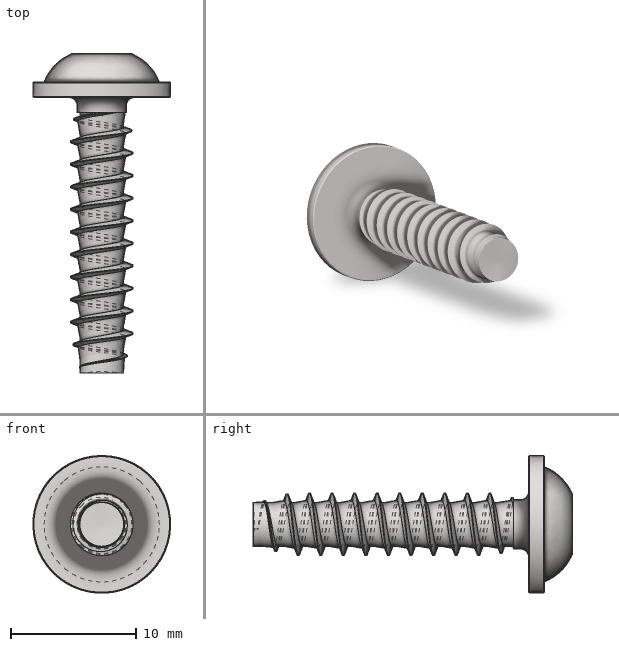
import cadquery as cq
import math


PROFILE_PLANE = cq.Plane(origin=(0, 0, 0), xDir=(0, 0, 1), normal=(-1, 0, 0))

FLANGE_RADIUS = 5.5
FLANGE_THICKNESS = 1.25
FLANGE_EDGE_CHAMFER = 0.08
HEAD_HEIGHT = 3.5
DOME_BASE_RADIUS = 4.6
DOME_TOP_RADIUS = 2.4
DOME_BULGE = 0.31

SHANK_LENGTH = 22.0
NECK_RADIUS = 1.97
NECK_FILLET = 0.65
NECK_LENGTH = 1.2
CORE_RADIUS = 1.75
TIP_DIMPLE_DEPTH = 0.13

PITCH = 1.8
CREST_RADIUS = 2.5
CREST_HALF_WIDTH = 0.03
FLANK_LENGTH = 0.28
SHOULDER_RADIUS = 1.92
SHOULDER_OFFSET = 0.25
TAPER_END = 1.17
RIDGE_FLOOR_RADIUS = 1.3
TAPER_OVERRUN = 0.2
CREST_DEPTH_AT_TOP = 1.29
THREAD_START_DEPTH = 0.4
RUN_IN_END_DEPTH = 3.1
RUN_OUT_START_DEPTH = 19.1
THREAD_END_DEPTH = 21.6
FINAL_HEIGHT = 0.04
STEPS_PER_TURN = 24


def make_body():
    """Head, neck and plain core as one turned profile (radius, Y)."""
    chamfer = FLANGE_EDGE_CHAMFER
    chord_slope = (DOME_BASE_RADIUS - DOME_TOP_RADIUS) / (HEAD_HEIGHT - FLANGE_THICKNESS)
    normal_scale = math.hypot(1, chord_slope)
    dome_middle = (
        (DOME_BASE_RADIUS + DOME_TOP_RADIUS) / 2 + DOME_BULGE / normal_scale,
        (FLANGE_THICKNESS + HEAD_HEIGHT) / 2 + DOME_BULGE * chord_slope / normal_scale,
    )
    fillet_offset = NECK_FILLET * (1 - math.sqrt(0.5))
    profile = (
        cq.Workplane(PROFILE_PLANE)
        .moveTo(0, HEAD_HEIGHT)
        .lineTo(DOME_TOP_RADIUS, HEAD_HEIGHT)
        .threePointArc(dome_middle, (DOME_BASE_RADIUS, FLANGE_THICKNESS))
        .lineTo(FLANGE_RADIUS - chamfer, FLANGE_THICKNESS)
        .lineTo(FLANGE_RADIUS, FLANGE_THICKNESS - chamfer)
        .lineTo(FLANGE_RADIUS, chamfer)
        .lineTo(FLANGE_RADIUS - chamfer, 0)
        .lineTo(NECK_RADIUS + NECK_FILLET, 0)
        .threePointArc(
            (NECK_RADIUS + fillet_offset, -fillet_offset),
            (NECK_RADIUS, -NECK_FILLET),
        )
        .lineTo(NECK_RADIUS, -NECK_LENGTH)
        .lineTo(CORE_RADIUS, -NECK_LENGTH)
        .lineTo(CORE_RADIUS, -SHANK_LENGTH)
        .lineTo(0, -SHANK_LENGTH)
        .close()
    )
    return profile.revolve(360, (0, 0, 0), (0, 1, 0))


def ridge_section(depth):
    """Corners (radius, offset towards the tip) of the ridge whose crest lies at this depth."""
    run_in = min(1.0, depth / RUN_IN_END_DEPTH)
    run_out_length = THREAD_END_DEPTH - RUN_OUT_START_DEPTH
    run_out = min(1.0, max(FINAL_HEIGHT, (THREAD_END_DEPTH - depth) / run_out_length))
    growth = run_in * run_out
    shoulder = CORE_RADIUS + (SHOULDER_RADIUS - CORE_RADIUS) * run_out
    crest = shoulder + (CREST_RADIUS - SHOULDER_RADIUS) * growth
    flank = CREST_HALF_WIDTH + FLANK_LENGTH * growth
    shoulder_offset = CREST_HALF_WIDTH + (SHOULDER_OFFSET - CREST_HALF_WIDTH) * growth
    taper_end = TAPER_END + TAPER_OVERRUN
    root = CORE_RADIUS - (shoulder - CORE_RADIUS) * TAPER_OVERRUN / (TAPER_END - shoulder_offset)
    return [
        (RIDGE_FLOOR_RADIUS, -flank),
        (root, -flank),
        (crest, -CREST_HALF_WIDTH),
        (crest, CREST_HALF_WIDTH),
        (shoulder, shoulder_offset),
        (root, taper_end),
        (RIDGE_FLOOR_RADIUS, taper_end),
    ]


def ridge_points(depth):
    """Corners of the ridge section placed on the right-handed helix."""
    angle = 2 * math.pi * (depth - CREST_DEPTH_AT_TOP) / PITCH
    return [
        cq.Vector(-radius * math.sin(angle), -depth - offset, radius * math.cos(angle))
        for radius, offset in ridge_section(depth)
    ]


def make_thread():
    """Solid ridge bounded by ruled faces between the helical paths of its section corners."""
    stage_depths = [THREAD_START_DEPTH, RUN_IN_END_DEPTH, RUN_OUT_START_DEPTH, THREAD_END_DEPTH]
    faces = []
    for start, end in zip(stage_depths, stage_depths[1:]):
        steps = math.ceil((end - start) / PITCH * STEPS_PER_TURN)
        sections = [ridge_points(start + (end - start) * i / steps) for i in range(steps + 1)]
        paths = [cq.Edge.makeSpline(list(corner_path)) for corner_path in zip(*sections)]
        for path, next_path in zip(paths, paths[1:] + paths[:1]):
            faces.append(cq.Face.makeRuledSurface(path, next_path))
    for depth in (THREAD_START_DEPTH, THREAD_END_DEPTH):
        faces.append(cq.Face.makeFromWires(cq.Wire.makePolygon(ridge_points(depth), close=True)))
    ridge = cq.Solid.makeSolid(cq.Shell.makeShell(faces))
    threaded_length = SHANK_LENGTH - NECK_LENGTH
    envelope = cq.Solid.makeCylinder(
        FLANGE_RADIUS, threaded_length, cq.Vector(0, -NECK_LENGTH, 0), cq.Vector(0, -1, 0)
    )
    return cq.Workplane(envelope).intersect(cq.Workplane(ridge))


def make_tip_dimple():
    """Shallow cone that hollows the tip face out to the core radius."""
    profile = (
        cq.Workplane(PROFILE_PLANE)
        .moveTo(0, TIP_DIMPLE_DEPTH - SHANK_LENGTH)
        .lineTo(CORE_RADIUS, -SHANK_LENGTH)
        .lineTo(0, -SHANK_LENGTH)
        .close()
    )
    return profile.revolve(360, (0, 0, 0), (0, 1, 0))


result = make_body().union(make_thread()).cut(make_tip_dimple())